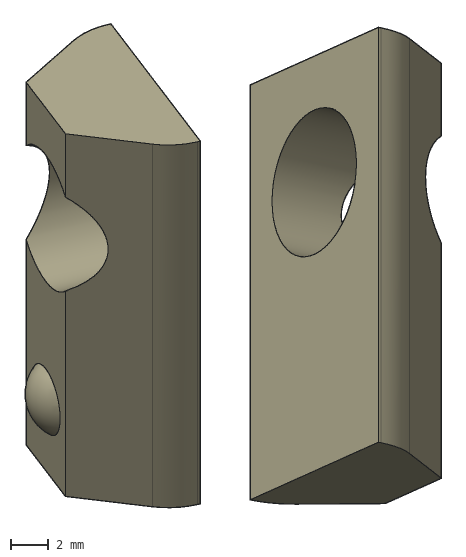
import cadquery as cq
import math

length = 23.0
width = 12.2
depth = 6.3

edge_depth = 0.15
side_radius = 4.0
flank_angle = math.radians(35)

hole_diameter = 8.0
hole_height = 16.0

ball_protrusion = 1.0
ball_rim_radius = 1.95
ball_height = 4.5
ball_radius = (ball_rim_radius**2 + ball_protrusion**2) / (2 * ball_protrusion)


def side_arc_point(angle):
    """Point on the right-hand side arc, where its tangent leans by angle."""
    x = width / 2 - side_radius * (1 - math.cos(angle))
    y = -edge_depth - side_radius * math.sin(angle)
    return x, y


def mirrored(point):
    return -point[0], point[1]


def make_body():
    arc_middle = side_arc_point(flank_angle / 2)
    arc_end = side_arc_point(flank_angle)
    flank_depth = depth + arc_end[1]
    front_corner = (arc_end[0] - flank_depth * math.tan(flank_angle), -depth)
    edge_end = (width / 2, -edge_depth)
    return (
        cq.Workplane("XY")
        .moveTo(width / 2, 0)
        .lineTo(*edge_end)
        .threePointArc(arc_middle, arc_end)
        .lineTo(*front_corner)
        .lineTo(*mirrored(front_corner))
        .lineTo(*mirrored(arc_end))
        .threePointArc(mirrored(arc_middle), mirrored(edge_end))
        .lineTo(-width / 2, 0)
        .close()
        .extrude(length)
    )


def make_hole():
    return (
        cq.Workplane("XZ")
        .center(0, hole_height)
        .circle(hole_diameter / 2)
        .extrude(depth)
    )


def make_ball():
    center_y = -depth - ball_protrusion + ball_radius
    return cq.Workplane("XY").sphere(ball_radius).translate((0, center_y, ball_height))


result = make_body().cut(make_hole()).union(make_ball())